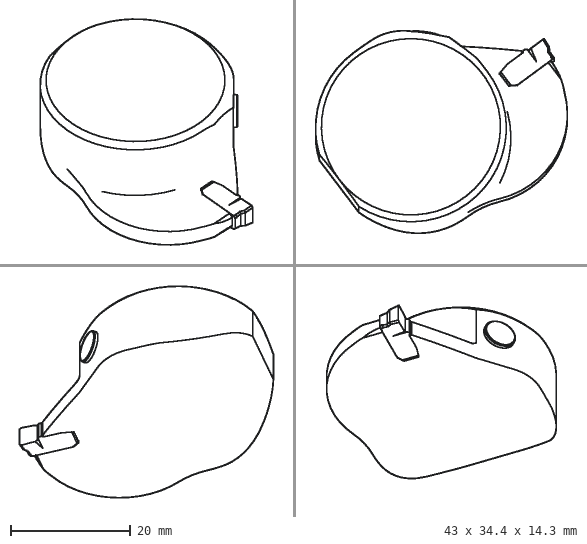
import cadquery as cq
import math

DRUM_RADIUS = 16.0
DRUM_HEIGHT = 13.85
DRUM_CHAMFER = 1.0
FLAT_X = -15.0
SLOPE_START = 7.0
SLOPE_BLEND_RADIUS = 12.0

SHOULDER_ARC_START_X = 3.75
SHOULDER_ARC_RADIUS = 8.5
SHOULDER_WALL_LEAN = 14.0
SHOULDER_CORNER_RADIUS = 1.7
SHOULDER_CORNER_Y = 2.6
SHOULDER_RIM_HEIGHT = 11.7
SHOULDER_RIM_RADIUS = 16.8

BOSS_DIAMETER = 5.5
BOSS_HEIGHT = 0.7
BOSS_CHAMFER = 0.17
BOSS_CENTRE_X = 11.6
BOSS_CENTRE_Z = DRUM_HEIGHT / 2

PLATE_THICKNESS = 3.1
PLATE_CENTRE = (11.6, -3.6)
PLATE_RADIUS = 14.8
PLATE_ARC_END_X = 25.33
PLATE_NOSE_MIDDLE = (26.3, -6.55)
PLATE_NOSE_END = (26.75, -3.22)
PLATE_EDGE_BOW = (18.88, 5.1)
PLATE_EDGE_END = (23.7, 0.8)
PLATE_BEVEL = 0.6
ROOT_FILLET = 0.77

INSERT_TAIL_X = 18.45
INSERT_TAIL_BEVEL = 0.35
INSERT_BACK_Y = -3.5
INSERT_FRONT_X = 27.45
INSERT_FRONT_BEVEL = 0.4
INSERT_TIP_X = 28.0
INSERT_TIP_Y = 0.15
INSERT_TAIL_CORNER_Y = -2.75
INSERT_TAIL_CORNER_X = 19.6
INSERT_TAIL_TOP_Y = -0.1
INSERT_SIDE_START_X = 20.5
INSERT_SIDE_Y = 0.4
INSERT_RIM_STEP_X = (23.7, 23.95)
INSERT_RIM_Y = 0.65
INSERT_RIM_DROP_X = (24.42, 24.85)
INSERT_FRONT_CORNER = (27.85, -1.5)
INSERT_FRONT_Y = -2.15
TAIL_GAP = 0.15
HEAD_START_X = 24.65
HEAD_OVERHANG = 0.47
HEAD_RAMP_LENGTH = 0.77
HEAD_FRONT_BEVEL = 0.3
FLANK_START = (25.0, -2.3)
FLANK_ANGLE = 18.0

SHOULDER_ARC_CENTRE = (SHOULDER_ARC_START_X, DRUM_RADIUS - SHOULDER_ARC_RADIUS)
SHOULDER_CORNER_CENTRE = (DRUM_RADIUS - SHOULDER_CORNER_RADIUS, SHOULDER_CORNER_Y)


def point_on_circle(centre, radius, angle):
    """Point at an angle in degrees, anticlockwise from +X."""
    turn = math.radians(angle)
    return (centre[0] + radius * math.cos(turn), centre[1] + radius * math.sin(turn))


FACET_ANGLE = 45.0
FACET_START = point_on_circle(SHOULDER_ARC_CENTRE, SHOULDER_ARC_RADIUS, FACET_ANGLE)
FACET_SUM = FACET_START[0] + FACET_START[1]

WALL_START = point_on_circle(SHOULDER_CORNER_CENTRE, SHOULDER_CORNER_RADIUS, SHOULDER_WALL_LEAN)
WALL_DIRECTION = point_on_circle((0, 0), 1, 90 + SHOULDER_WALL_LEAN)
WALL_LENGTH = (FACET_SUM - sum(WALL_START)) / sum(WALL_DIRECTION)
WALL_END = (
    WALL_START[0] + WALL_LENGTH * WALL_DIRECTION[0],
    WALL_START[1] + WALL_LENGTH * WALL_DIRECTION[1],
)


def shoulder():
    """Bulge on the +X +Y side of the drum, with a conical top."""
    outline = (
        cq.Workplane("XY")
        .lineTo(0, DRUM_RADIUS)
        .lineTo(SHOULDER_ARC_START_X, DRUM_RADIUS)
        .threePointArc(
            point_on_circle(SHOULDER_ARC_CENTRE, SHOULDER_ARC_RADIUS, (90 + FACET_ANGLE) / 2),
            FACET_START,
        )
        .lineTo(*WALL_END)
        .lineTo(*WALL_START)
        .threePointArc(
            point_on_circle(SHOULDER_CORNER_CENTRE, SHOULDER_CORNER_RADIUS, SHOULDER_WALL_LEAN / 2),
            (DRUM_RADIUS, SHOULDER_CORNER_Y),
        )
        .lineTo(DRUM_RADIUS, 0)
        .close()
    )
    return outline.extrude(DRUM_HEIGHT).intersect(shoulder_cone())


def shoulder_cone():
    """Round envelope whose cone starts at the lower edge of the drum chamfer."""
    chamfer_bottom = DRUM_HEIGHT - DRUM_CHAMFER
    slope = (chamfer_bottom - SHOULDER_RIM_HEIGHT) / (SHOULDER_RIM_RADIUS - DRUM_RADIUS)
    foot_radius = DRUM_RADIUS + chamfer_bottom / slope
    return (
        cq.Workplane("XZ")
        .polyline([(0, 0), (foot_radius, 0), (DRUM_RADIUS, chamfer_bottom), (0, chamfer_bottom)])
        .close()
        .revolve(360, (0, 0), (0, 1))
    )


def plate_outline():
    """Outline of the plate; its inner corner is on the drum axis."""
    dx, dy = PLATE_CENTRE
    gap = dy + DRUM_RADIUS
    hollow_radius = (dx**2 + gap**2 - PLATE_RADIUS**2) / (2 * (PLATE_RADIUS - gap))
    hollow_centre = (0, -DRUM_RADIUS - hollow_radius)
    hollow_end_angle = math.degrees(math.atan2(dy - hollow_centre[1], dx))
    arc_start_angle = hollow_end_angle - 180
    arc_end_angle = -math.degrees(math.acos((PLATE_ARC_END_X - dx) / PLATE_RADIUS))
    return (
        cq.Workplane("XY")
        .lineTo(0, -DRUM_RADIUS)
        .threePointArc(
            point_on_circle(hollow_centre, hollow_radius, (90 + hollow_end_angle) / 2),
            point_on_circle(hollow_centre, hollow_radius, hollow_end_angle),
        )
        .threePointArc(
            point_on_circle(PLATE_CENTRE, PLATE_RADIUS, (arc_start_angle + arc_end_angle) / 2),
            point_on_circle(PLATE_CENTRE, PLATE_RADIUS, arc_end_angle),
        )
        .threePointArc(PLATE_NOSE_MIDDLE, PLATE_NOSE_END)
        .lineTo(PLATE_EDGE_END[0], PLATE_NOSE_END[1])
        .lineTo(*PLATE_EDGE_END)
        .threePointArc(PLATE_EDGE_BOW, WALL_END)
        .close()
    )


def bevelled_bar(points):
    """Long bar along Y with the given section in X and Z."""
    return cq.Workplane("XZ").polyline(points).close().extrude(2 * DRUM_RADIUS, both=True)


def plate():
    """Flat plate that carries the insert, bevelled at its +X end."""
    end_x = PLATE_NOSE_END[0]
    envelope = bevelled_bar([
        (0, 0),
        (end_x - PLATE_BEVEL, 0),
        (end_x, PLATE_BEVEL),
        (end_x, PLATE_THICKNESS - PLATE_BEVEL),
        (end_x - PLATE_BEVEL, PLATE_THICKNESS),
        (0, PLATE_THICKNESS),
    ])
    return plate_outline().extrude(PLATE_THICKNESS).intersect(envelope)


def fillet_section(workplane, wall):
    """Concave corner section against a wall, reaching slightly into the wall and plate."""
    sink = ROOT_FILLET / 2
    low = PLATE_THICKNESS
    high = low + ROOT_FILLET
    outer = wall + ROOT_FILLET
    arc_reach = ROOT_FILLET * (1 - math.sqrt(0.5))
    return (
        workplane.moveTo(wall - sink, low - sink)
        .lineTo(outer, low - sink)
        .lineTo(outer, low)
        .threePointArc((wall + arc_reach, low + arc_reach), (wall, high))
        .lineTo(wall - sink, high)
        .close()
    )


def root_fillet():
    """Fillet where the drum and the shoulder wall rise from the plate."""
    section = cq.Workplane("XZ")
    around_drum = (
        fillet_section(section, DRUM_RADIUS)
        .revolve(90, (0, 0), (0, 1))
        .rotate((0, 0, 0), (0, 0, 1), -90)
    )
    along_face = fillet_section(section, DRUM_RADIUS).extrude(-SHOULDER_CORNER_Y)
    around_corner = (
        fillet_section(section, SHOULDER_CORNER_RADIUS)
        .revolve(SHOULDER_WALL_LEAN, (0, 0), (0, 1))
        .translate((*SHOULDER_CORNER_CENTRE, 0))
    )
    along_wall = (
        fillet_section(section, SHOULDER_CORNER_RADIUS)
        .extrude(-WALL_LENGTH - 2 * ROOT_FILLET)
        .rotate((0, 0, 0), (0, 0, 1), SHOULDER_WALL_LEAN)
        .translate((*SHOULDER_CORNER_CENTRE, 0))
    )
    ring = around_drum.union(along_face).union(around_corner).union(along_wall)
    return ring.intersect(plate_outline().extrude(DRUM_HEIGHT))


def drum():
    """Round body with a chamfered top edge."""
    body = cq.Workplane("XY").circle(DRUM_RADIUS).extrude(DRUM_HEIGHT)
    return body.faces(">Z").chamfer(DRUM_CHAMFER).rotate((0, 0, 0), (0, 0, 1), 180)


def side_profile():
    """Bar that trims the -X side: upright flat, 45 degree slope, round blend."""
    drop = SLOPE_BLEND_RADIUS * (1 - math.sqrt(0.5))
    blend_start_x = FLAT_X + SLOPE_START - drop
    blend_end_x = blend_start_x + SLOPE_BLEND_RADIUS * math.sqrt(0.5)
    blend_centre = (blend_end_x, SLOPE_BLEND_RADIUS)
    blend_middle = point_on_circle(blend_centre, SLOPE_BLEND_RADIUS, (225 + 270) / 2)
    far_x = INSERT_TIP_X
    return (
        cq.Workplane("XZ")
        .moveTo(FLAT_X, DRUM_HEIGHT)
        .lineTo(FLAT_X, SLOPE_START)
        .lineTo(blend_start_x, drop)
        .threePointArc(blend_middle, (blend_end_x, 0))
        .lineTo(far_x, 0)
        .lineTo(far_x, DRUM_HEIGHT)
        .close()
        .extrude(2 * DRUM_RADIUS, both=True)
    )


def boss():
    """Round boss that stands out of the 45 degree facet."""
    facet = cq.Plane(
        origin=(BOSS_CENTRE_X, FACET_SUM - BOSS_CENTRE_X, BOSS_CENTRE_Z),
        xDir=(-1, 1, 0),
        normal=(1, 1, 0),
    )
    return (
        cq.Workplane(facet)
        .workplane(offset=-BOSS_HEIGHT)
        .circle(BOSS_DIAMETER / 2)
        .extrude(2 * BOSS_HEIGHT)
        .faces(">(1, 1, 0)")
        .chamfer(BOSS_CHAMFER)
    )


def insert_pocket():
    """Through slot in the plate with the plan shape of the insert."""
    return insert_outline(0).extrude(PLATE_THICKNESS)


def make_housing():
    body = drum().union(shoulder()).union(plate()).union(root_fillet())
    return body.intersect(side_profile()).union(boss()).cut(insert_pocket())


def insert_outline(tail_gap):
    """Plan shape of the insert; tail_gap sets back its chamfered tail corner."""
    return (
        cq.Workplane("XY")
        .polyline([
            (INSERT_TAIL_X, INSERT_TAIL_TOP_Y),
            (INSERT_SIDE_START_X, INSERT_SIDE_Y),
            (INSERT_RIM_STEP_X[0], INSERT_SIDE_Y),
            (INSERT_RIM_STEP_X[1], INSERT_RIM_Y),
            (INSERT_RIM_DROP_X[0], INSERT_RIM_Y),
            (INSERT_RIM_DROP_X[1], INSERT_TIP_Y),
            (INSERT_TIP_X, INSERT_TIP_Y),
            INSERT_FRONT_CORNER,
            (INSERT_FRONT_X, INSERT_FRONT_Y),
            (INSERT_FRONT_X, INSERT_BACK_Y),
            (INSERT_TAIL_CORNER_X + tail_gap, INSERT_BACK_Y),
            (INSERT_TAIL_X, INSERT_TAIL_CORNER_Y + tail_gap),
        ])
        .close()
    )


def insert_shank():
    """Part of the insert flush with the plate, with a V-shaped tail and bevelled front."""
    tail_shoulder_x = INSERT_TAIL_X + INSERT_TAIL_BEVEL
    front_shoulder_x = INSERT_FRONT_X - INSERT_FRONT_BEVEL
    envelope = bevelled_bar([
        (tail_shoulder_x, 0),
        (front_shoulder_x, 0),
        (INSERT_FRONT_X, INSERT_FRONT_BEVEL),
        (INSERT_FRONT_X, PLATE_THICKNESS - INSERT_FRONT_BEVEL),
        (front_shoulder_x, PLATE_THICKNESS),
        (tail_shoulder_x, PLATE_THICKNESS),
        (INSERT_TAIL_X, PLATE_THICKNESS / 2),
    ])
    return insert_outline(TAIL_GAP).extrude(PLATE_THICKNESS).intersect(envelope)


def head_flanks():
    """Wedge between the two sloped flanks, widening from the shank to the cutting edge."""
    tilt = math.radians(FLANK_ANGLE)
    away = (math.sin(tilt), math.cos(tilt), 0)
    corner_x = INSERT_TIP_X - HEAD_FRONT_BEVEL
    run = (corner_x - FLANK_START[0]) * away[0] + (INSERT_TIP_Y - FLANK_START[1]) * away[1]
    reach = 2 * run
    rise = HEAD_OVERHANG * reach / run
    section = cq.Plane(origin=(*FLANK_START, 0), xDir=away, normal=(math.cos(tilt), -math.sin(tilt), 0))
    return (
        cq.Workplane(section)
        .polyline([(0, 0), (reach, -rise), (reach, PLATE_THICKNESS + rise), (0, PLATE_THICKNESS)])
        .close()
        .extrude(INSERT_TIP_X, both=True)
    )


def insert_head():
    """Cutting head, wider than the plate at its +Y edge."""
    top = PLATE_THICKNESS + HEAD_OVERHANG
    ramp_end_x = HEAD_START_X + HEAD_RAMP_LENGTH
    envelope = bevelled_bar([
        (HEAD_START_X, 0),
        (ramp_end_x, -HEAD_OVERHANG),
        (INSERT_TIP_X, -2 * HEAD_OVERHANG),
        (INSERT_TIP_X, PLATE_THICKNESS + 2 * HEAD_OVERHANG),
        (ramp_end_x, top),
        (HEAD_START_X, PLATE_THICKNESS),
    ])
    blank = insert_outline(TAIL_GAP).extrude(DRUM_HEIGHT, both=True)
    head = blank.intersect(head_flanks()).intersect(envelope)
    margin = 0.05
    front_edges = cq.selectors.BoxSelector(
        (INSERT_FRONT_X - margin, INSERT_BACK_Y, -DRUM_HEIGHT),
        (INSERT_TIP_X + margin, INSERT_TIP_Y - margin, DRUM_HEIGHT),
    )
    return head.edges(front_edges).edges("not |Z").chamfer(HEAD_FRONT_BEVEL)


def make_insert():
    return insert_shank().union(insert_head())


housing = make_housing()
cutting_insert = make_insert()
result = cq.Compound.makeCompound([housing.solids().val(), cutting_insert.solids().val()])